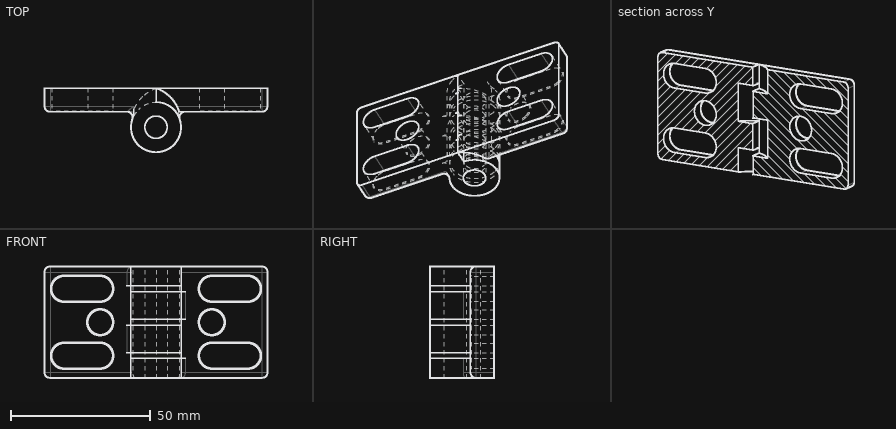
import cadquery as cq


leaf_width = 40.0
height = 40.0
thickness = 8.5
edge_radius = 2.0

barrel_diameter = 18.0
barrel_radius = barrel_diameter / 2
axis_y = -14.0
pin_diameter = 8.0
root_radius = 2.0
root_margin = 0.1

washer_height = 2.0
inner_knuckle_height = 10.0
end_knuckle_height = (height - 2 * inner_knuckle_height - 3 * washer_height) / 2

clearance_radius = 13.0
clearance_depth = 8.3

hole_diameter = 9.0
hole_chamfer = 0.3
hole_x = -20.0
slot_length = 13.0
slot_z = 12.0

top_z = height / 2
end_knuckle_bottom = top_z - end_knuckle_height
inner_knuckle_top = -washer_height / 2
washer_pitch = inner_knuckle_height + washer_height


def rounded_plate():
    """Plate reaching from X = -leaf_width to the joint, rounded on its outer and front edges."""
    plate = cq.Workplane("XY").box(leaf_width, thickness, height).translate(
        (-leaf_width / 2, -thickness / 2, 0)
    )
    front_edges = plate.faces("<Y").edges("not >X")
    outer_corners = front_edges.add(plate.faces("<X").edges("|Y"))
    return outer_corners.fillet(edge_radius)


def clearance_cutter():
    """Curved sliver removed from the joint edge, from the back corner to the front face."""
    return (
        cq.Workplane("XY", origin=(0, 0, -height))
        .moveTo(0, 0)
        .radiusArc((-clearance_depth, -thickness), -clearance_radius)
        .lineTo(-clearance_depth, -2 * thickness)
        .lineTo(leaf_width, -2 * thickness)
        .lineTo(leaf_width, 0)
        .close()
        .extrude(2 * height)
    )


def plate_with_barrel(plate):
    """Plate joined to an over-long barrel, with a concave fillet where they meet."""
    barrel = (
        cq.Workplane("XY", origin=(0, axis_y, 0))
        .circle(barrel_radius)
        .extrude(height, both=True)
    )
    root_box = cq.selectors.BoxSelector(
        (-barrel_radius, -thickness - root_margin, -height),
        (-root_margin, axis_y + barrel_radius + root_margin, height),
    )
    return plate.union(barrel).edges(root_box).fillet(root_radius)


def level_slab(bottom, slab_height):
    """Wide block that keeps only one band of heights."""
    side = 3 * leaf_width
    return cq.Workplane("XY", origin=(0, 0, bottom)).rect(side, side).extrude(slab_height)


def chamfered_opening(x, z, straight):
    """Cutter through the plate with a chamfer at the front; a straight length of 0 gives a round hole."""
    front = cq.Workplane("XZ", origin=(x, -thickness, z))
    widest = hole_diameter + 2 * hole_chamfer

    def outline(diameter):
        if straight > 0:
            return front.slot2D(straight + diameter, diameter)
        return front.circle(diameter / 2)

    through = outline(hole_diameter).extrude(-thickness)
    mouth = outline(widest).extrude(-hole_chamfer, taper=45)
    return through.union(mouth)


def make_leaf():
    """Left leaf, with the top end knuckle and the lower inner knuckle."""
    plate = rounded_plate()
    knuckles = plate_with_barrel(plate)
    leaf = plate.cut(clearance_cutter())
    leaf = leaf.union(knuckles.intersect(level_slab(end_knuckle_bottom, end_knuckle_height)))
    inner_slab = level_slab(inner_knuckle_top - inner_knuckle_height, inner_knuckle_height)
    leaf = leaf.union(knuckles.intersect(inner_slab))

    pin_bore = cq.Workplane("XY", origin=(0, axis_y, 0)).circle(pin_diameter / 2).extrude(height, both=True)
    leaf = leaf.cut(pin_bore)
    leaf = leaf.cut(chamfered_opening(hole_x, 0, 0))
    for z in (-slot_z, slot_z):
        leaf = leaf.cut(chamfered_opening(hole_x - slot_length / 2, z, slot_length))
    return leaf


def make_washer(middle_z):
    """Flat ring around the pin, as wide as the barrel."""
    return (
        cq.Workplane("XY", origin=(0, axis_y, middle_z - washer_height / 2))
        .circle(barrel_radius)
        .circle(pin_diameter / 2)
        .extrude(washer_height)
    )


def make_pin():
    """Plain pin, flush with both ends of the barrel."""
    return cq.Workplane("XY", origin=(0, axis_y, -top_z)).circle(pin_diameter / 2).extrude(height)


left_leaf = make_leaf()
right_leaf = left_leaf.rotate((0, 0, 0), (0, 1, 0), 180)
washers = [make_washer(step * washer_pitch) for step in (-1, 0, 1)]
pin = make_pin()

result = cq.Compound.makeCompound(
    [left_leaf.val(), right_leaf.val(), *[washer.val() for washer in washers], pin.val()]
)